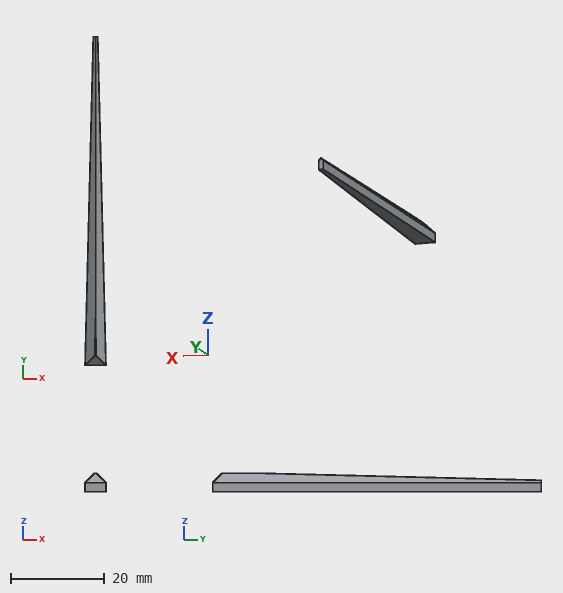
import cadquery as cq

length = 70.0
front_width = 4.5
back_width = 1.0
height = 4.0

bevel = 2.0
shoulder_height = height - bevel


def tapered_bar():
    """Full-height bar with a trapezoidal plan, narrowing toward +Y."""
    plan = [
        (-front_width / 2, 0),
        (front_width / 2, 0),
        (back_width / 2, length),
        (-back_width / 2, length),
    ]
    return cq.Workplane("XY").polyline(plan).close().extrude(height)


def side_bevel_cutter(side):
    """Solid above the sloped face of one side: side is -1 for -X, +1 for +X."""

    def section(half_width):
        reach = 2 * bevel
        return [
            (side * half_width, shoulder_height),
            (side * (half_width - reach), shoulder_height + reach),
            (side * (half_width + reach), shoulder_height + reach),
            (side * (half_width + reach), shoulder_height),
        ]

    return (
        cq.Workplane("XZ")
        .polyline(section(front_width / 2))
        .close()
        .workplane(offset=-length)
        .polyline(section(back_width / 2))
        .close()
        .loft(ruled=True)
    )


def front_bevel_cutter():
    """Triangular prism that slopes the upper part of the front end."""
    profile = [(0, shoulder_height), (bevel, height), (0, height)]
    return (
        cq.Workplane("YZ")
        .polyline(profile)
        .close()
        .extrude(front_width / 2, both=True)
    )


result = tapered_bar().cut(front_bevel_cutter())
for side in (-1, 1):
    result = result.cut(side_bevel_cutter(side))